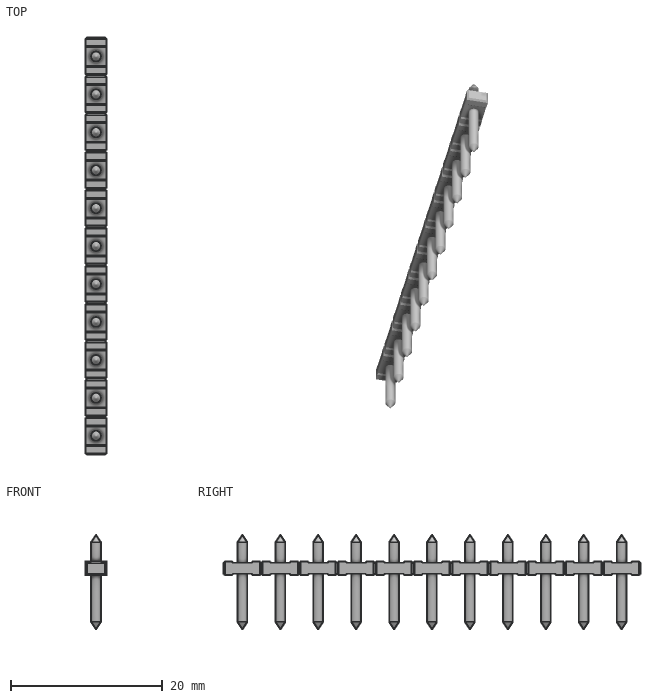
import cadquery as cq


pin_count = 11
strip_length = 55
pitch = strip_length / pin_count

block_width = 2.8
block_height = 1.8
end_chamfer = 0.2

recess_depth = 0.15
recess_mouth = 2.8
recess_floor = 2.4

pin_radius = 0.65
pin_length = 12.5
point_length = 1.0
pin_rise = 3.5


def make_block():
    """One housing block with chamfered ends and a recess above and below."""
    block = cq.Workplane("XY").box(block_width, pitch, block_height)
    block = block.faces("<Y or >Y").chamfer(end_chamfer)
    half_height = block_height / 2
    for side in (1, -1):
        recess = (
            cq.Workplane("YZ")
            .polyline([
                (-recess_mouth / 2, side * half_height),
                (-recess_floor / 2, side * (half_height - recess_depth)),
                (recess_floor / 2, side * (half_height - recess_depth)),
                (recess_mouth / 2, side * half_height),
            ])
            .close()
            .extrude(block_width / 2, both=True)
        )
        block = block.cut(recess)
    return block


def make_pin():
    """Round pin with a conical point at each end."""
    top = block_height / 2 + pin_rise
    bottom = top - pin_length
    return (
        cq.Workplane("YZ")
        .polyline([
            (0, top),
            (-pin_radius, top - point_length),
            (-pin_radius, bottom + point_length),
            (0, bottom),
        ])
        .close()
        .revolve(360, (0, 0, 0), (0, 1, 0))
    )


segment = make_block().union(make_pin())
first_y = -(strip_length - pitch) / 2

result = segment.translate((0, first_y, 0))
for index in range(1, pin_count):
    result = result.union(segment.translate((0, first_y + index * pitch, 0)))